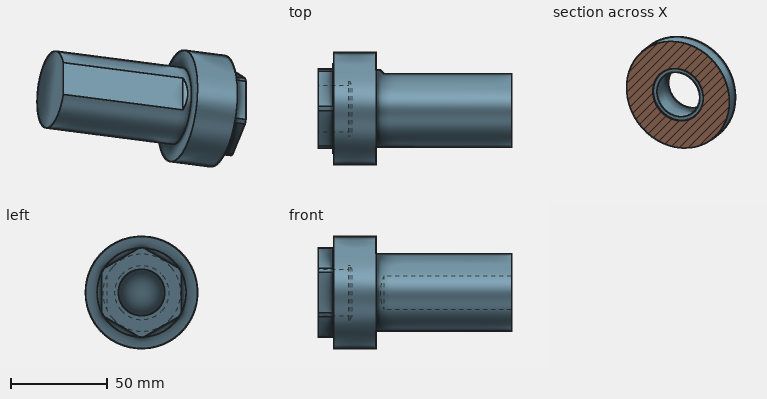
import cadquery as cq
import math

total_length = 100.0
hex_length = 7.5
flange_start = 8.0
flange_end = 30.0

collar_diameter = 46.0
flange_diameter = 58.0
shank_diameter = 40.0
hex_across_flats = 41.0

bore_diameter = 24.0
bore_depth = 17.4
undercut_diameter = 28.0
undercut_start = 15.5
taper_angle = 120.0

flat_depth = 2.0
runout_start = 32.0


def cylinder(diameter, start, end):
    """Solid cylinder about the X axis between two axial positions."""
    return cq.Workplane("YZ", origin=(start, 0, 0)).circle(diameter / 2).extrude(end - start)


def hex_head():
    """Hexagon with two sides facing +Y and -Y and its corners turned to the collar diameter."""
    corner_direction = 90
    across_corners = hex_across_flats / math.cos(math.radians(30))
    hexagon = (
        cq.Workplane("YZ")
        .transformed(rotate=(0, 0, corner_direction))
        .polygon(6, across_corners)
        .extrude(hex_length)
    )
    return hexagon.intersect(cylinder(collar_diameter, 0, hex_length))


def flat_cut():
    """Material removed beyond the flat, with a sloped end next to the flange."""
    outer_y = shank_diameter / 2
    flat_y = outer_y - flat_depth
    return (
        cq.Workplane("XY")
        .moveTo(runout_start, outer_y)
        .lineTo(runout_start + flat_depth, flat_y)
        .lineTo(total_length, flat_y)
        .lineTo(total_length, outer_y)
        .close()
        .extrude(shank_diameter / 2, both=True)
    )


def blind_bore():
    """Flat-bottomed bore from the hexagon face, undercut just before its floor."""
    radius = bore_diameter / 2
    undercut_radius = undercut_diameter / 2
    taper_length = (undercut_radius - radius) / math.tan(math.radians(taper_angle / 2))
    return (
        cq.Workplane("XY")
        .lineTo(0, radius)
        .lineTo(undercut_start, radius)
        .lineTo(undercut_start, undercut_radius)
        .lineTo(bore_depth - taper_length, undercut_radius)
        .lineTo(bore_depth, radius)
        .lineTo(bore_depth, 0)
        .close()
        .revolve(360, (0, 0, 0), (1, 0, 0))
    )


collar = cylinder(collar_diameter, hex_length, flange_start)
flange = cylinder(flange_diameter, flange_start, flange_end)
shank = cylinder(shank_diameter, flange_end, total_length).cut(flat_cut())

result = hex_head().union(collar).union(flange).union(shank).cut(blind_bore())